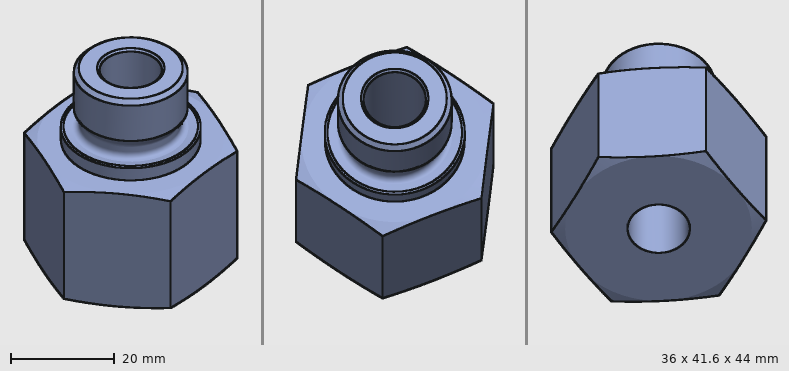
import cadquery as cq
import math

total_height = 44.0
hex_across_flats = 36.0
hex_height = 27.0
hex_chamfer_angle = 15.0

collar_radius = 27.0 / 2
rim_radius = 13.0
rim_height = 30.1
collar_edge_drop = 0.18
dish_depth = 0.4

neck_radius = 19.7 / 2
neck_fillet = 1.3
neck_top = 32.25
neck_cone_angle = 30.0

stud_radius = 22.0 / 2
stud_chamfer = 0.95
bore_radius = 12.0 / 2
bore_chamfer = 0.5


def hex_body():
    """Hexagon with flats facing +X and -X and its corners turned off at both ends."""
    corner_radius = hex_across_flats / 2 / math.cos(math.pi / 6)
    prism = (
        cq.Workplane("XY")
        .polygon(6, 2 * corner_radius)
        .extrude(hex_height)
        .rotate((0, 0, 0), (0, 0, 1), 30)
    )
    face_radius = hex_across_flats / 2
    corner_drop = (corner_radius - face_radius) * math.tan(math.radians(hex_chamfer_angle))
    envelope = (
        cq.Workplane("XZ")
        .moveTo(0, 0)
        .lineTo(face_radius, 0)
        .lineTo(corner_radius, corner_drop)
        .lineTo(corner_radius, hex_height - corner_drop)
        .lineTo(face_radius, hex_height)
        .lineTo(0, hex_height)
        .close()
        .revolve(360, (0, 0, 0), (0, 1, 0))
    )
    return prism.intersect(envelope)


def stud():
    """Collar, undercut neck and chamfered stud, turned as one profile."""
    dish_floor = rim_height - dish_depth
    fillet_offset = neck_fillet * (1 - math.sqrt(0.5))
    cone_angle = math.radians(neck_cone_angle)
    cone_start_radius = neck_radius + neck_fillet * (1 - math.cos(cone_angle))
    cone_start_height = neck_top + neck_fillet * math.sin(cone_angle)
    stud_bottom = cone_start_height + (stud_radius - cone_start_radius) / math.tan(cone_angle)
    return (
        cq.Workplane("XZ")
        .moveTo(0, hex_height / 2)
        .lineTo(collar_radius, hex_height / 2)
        .lineTo(collar_radius, rim_height - collar_edge_drop)
        .lineTo(rim_radius, rim_height)
        .lineTo(neck_radius + neck_fillet, dish_floor)
        .threePointArc(
            (neck_radius + fillet_offset, dish_floor + fillet_offset),
            (neck_radius, dish_floor + neck_fillet),
        )
        .lineTo(neck_radius, neck_top)
        .tangentArcPoint((cone_start_radius, cone_start_height), relative=False)
        .lineTo(stud_radius, stud_bottom)
        .lineTo(stud_radius, total_height - stud_chamfer)
        .lineTo(stud_radius - stud_chamfer, total_height)
        .lineTo(0, total_height)
        .close()
        .revolve(360, (0, 0, 0), (0, 1, 0))
    )


def bore():
    """Through bore with a chamfered mouth at the stud end."""
    return (
        cq.Workplane("XZ")
        .lineTo(bore_radius, 0)
        .lineTo(bore_radius, total_height - bore_chamfer)
        .lineTo(bore_radius + bore_chamfer, total_height)
        .lineTo(0, total_height)
        .close()
        .revolve(360, (0, 0, 0), (0, 1, 0))
    )


result = hex_body().union(stud()).cut(bore())